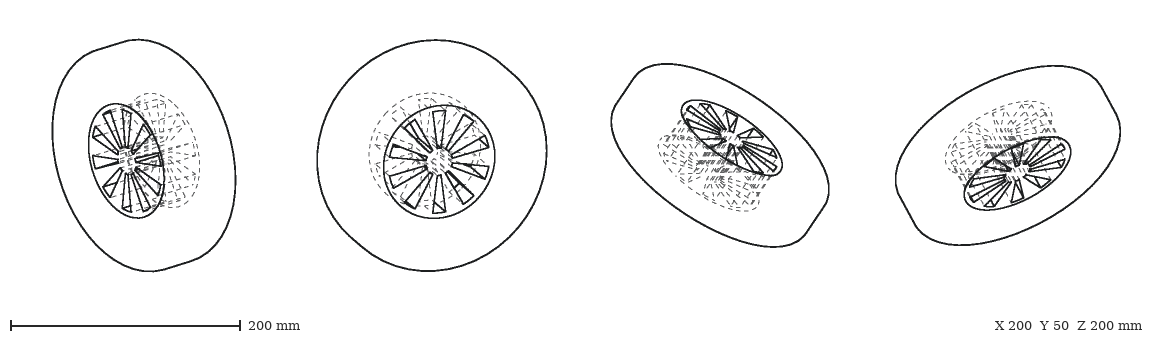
import cadquery as cq
import math

wheel_radius = 100.0
wheel_width = 50.0
edge_radius = 10.0
recess_rim_radius = 60.0
recess_floor_radius = 51.2

spoke_gap_count = 10
gap_inner_radius = 12.5
gap_outer_radius = 46.5
gap_inner_width = 3.5
gap_outer_width = 11.8

half_width = wheel_width / 2


def make_tyre():
    """Solid disc with rounded shoulders."""
    disc = cq.Workplane("XZ", origin=(0, half_width, 0)).circle(wheel_radius).extrude(wheel_width)
    return disc.edges().fillet(edge_radius)


def make_recess():
    """Shallow round recess in the -Y face, its rim rounded right down to the floor."""
    def rim_drop(radius):
        run = recess_rim_radius - radius
        return edge_radius - math.sqrt(edge_radius**2 - run**2)

    middle_radius = (recess_rim_radius + recess_floor_radius) / 2
    floor_y = -half_width + rim_drop(recess_floor_radius)
    profile = (
        cq.Workplane("XY")
        .moveTo(0, -half_width)
        .lineTo(recess_rim_radius, -half_width)
        .threePointArc(
            (middle_radius, -half_width + rim_drop(middle_radius)),
            (recess_floor_radius, floor_y),
        )
        .lineTo(0, floor_y)
        .close()
    )
    return profile.revolve(360, (0, 0, 0), (0, 1, 0))


def make_spoke_gap(angle):
    """Tapered opening with ends concentric to the axle, through the full width, turned about the axle."""
    inner_x = gap_inner_width / 2
    outer_x = gap_outer_width / 2
    inner_z = math.sqrt(gap_inner_radius**2 - inner_x**2)
    outer_z = math.sqrt(gap_outer_radius**2 - outer_x**2)
    gap = (
        cq.Workplane("XZ", origin=(0, half_width, 0))
        .moveTo(-inner_x, inner_z)
        .threePointArc((0, gap_inner_radius), (inner_x, inner_z))
        .lineTo(outer_x, outer_z)
        .threePointArc((0, gap_outer_radius), (-outer_x, outer_z))
        .close()
        .extrude(wheel_width)
    )
    return gap.rotate((0, 0, 0), (0, 1, 0), angle)


recess = make_recess()
result = make_tyre().cut(recess).cut(recess.mirror("XZ"))
for index in range(spoke_gap_count):
    result = result.cut(make_spoke_gap(index * 360 / spoke_gap_count))